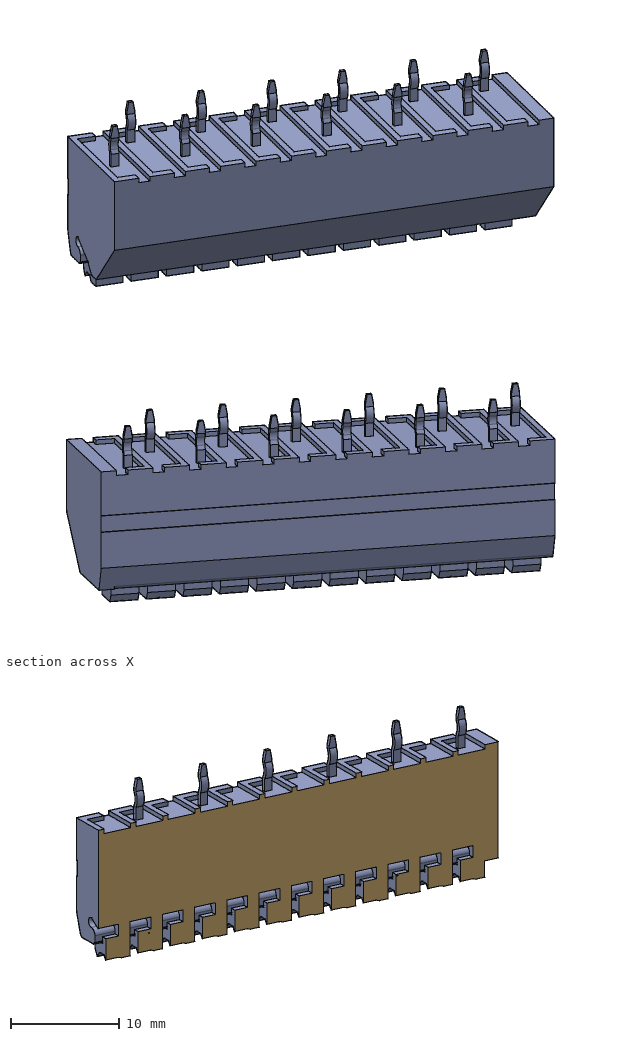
import cadquery as cq

LENGTH = 43.5
WIDTH = 12.0
HOUSING_BOTTOM = 1.6
HOUSING_TOP = 13.15
RIGHT_WALL_BOTTOM = 6.3
LEFT_WALL_BOTTOM = 3.9
LEFT_SLOPE_RUN = 0.8
BAND_BOTTOM = 7.35
BAND_TOP = 8.9
BAND_DEPTH = 0.15

POLE_COUNT = 12
END_PLATE = 1.5
PITCH = (LENGTH - END_PLATE) / POLE_COUNT
FRONT_Y = -LENGTH / 2
POLES_END_Y = LENGTH / 2 - END_PLATE

JAW_RIGHT = 3.25
JAW_EDGE_RADIUS = 0.45
JAW_CORNER = 0.2
JAW_SHOULDER = 2.52
JAW_SHOULDER_RADIUS = 0.65
JAW_TOP = 3.15
HOOK_CENTRE_X = 2.6
HOOK_RADIUS = 0.5
ROOF_BEND_X = 5.18
ROOF_BEND_Z = 2.6
CHANNEL_RIGHT = 6.15

LEVER_LENGTH = 2.7
LEVER_LEFT = 1.95
LEVER_RIGHT = 5.15
LEVER_TOP = 2.25
ARM_LEFT = 2.52
ARM_LENGTH = 1.3
LEVER_CHAMFER_X = 0.4
LEVER_CHAMFER_Z = 0.75
SCOOP_HEIGHT = 0.55
SCOOP_WIDTH = 1.55
SCOOP_ROOF_WIDTH = 0.75
SCOOP_DEPTH = 1.75

RECESS_DEPTH = 0.45
GROOVE_LENGTH = 1.1
POCKET_LENGTH = 2.85
POCKET_INSET = 0.9
RECESS_FLOOR = HOUSING_TOP - RECESS_DEPTH

PIN_TOP = 16.7
PIN_TAPER_START = 15.8
PIN_THICKNESS = 0.4
PIN_WIDTH = 0.8
PIN_TIP_WIDTH = 0.45
PIN_ROW_X = 2.3
PIN_ROW_SPACING = 5.0
PIN_Y_OFFSET = 1.7
KINK_CENTRE = 14.75
KINK_LENGTH = 1.55
KINK_CREST_LENGTH = 0.8
KINK_DEPTH = 0.24
KINK_RAMP_DEPTH = 0.17


def prism(outline, y_start, length):
    """Extrude an XZ outline towards +Y from y_start."""
    return outline.extrude(-length).translate((0, y_start, 0))


def make_housing_block(y_start, length):
    slope_run = RIGHT_WALL_BOTTOM - HOUSING_BOTTOM
    outline = cq.Workplane("XZ").polyline([
        (0, HOUSING_TOP),
        (WIDTH, HOUSING_TOP),
        (WIDTH, RIGHT_WALL_BOTTOM),
        (WIDTH - slope_run, HOUSING_BOTTOM),
        (LEFT_SLOPE_RUN, HOUSING_BOTTOM),
        (0, LEFT_WALL_BOTTOM),
        (0, BAND_BOTTOM),
        (BAND_DEPTH, BAND_BOTTOM),
        (BAND_DEPTH, BAND_TOP),
        (0, BAND_TOP),
    ]).close()
    return prism(outline, y_start, length)


def make_housing():
    jaw_edge = cq.selectors.NearestToPointSelector((LEFT_SLOPE_RUN, 0, HOUSING_BOTTOM))
    poles = make_housing_block(FRONT_Y, LENGTH - END_PLATE)
    poles = poles.edges("|Y").edges(jaw_edge).fillet(JAW_EDGE_RADIUS)
    return poles.union(make_housing_block(POLES_END_Y, END_PLATE))


def make_channel():
    hook_z = JAW_TOP + HOOK_RADIUS
    outline = (
        cq.Workplane("XZ")
        .moveTo(CHANNEL_RIGHT, HOUSING_BOTTOM)
        .lineTo(ROOF_BEND_X, ROOF_BEND_Z)
        .lineTo(HOOK_CENTRE_X, hook_z + HOOK_RADIUS)
        .threePointArc((HOOK_CENTRE_X - HOOK_RADIUS, hook_z), (HOOK_CENTRE_X, JAW_TOP))
        .radiusArc((JAW_RIGHT, JAW_SHOULDER), JAW_SHOULDER_RADIUS)
        .lineTo(JAW_RIGHT, HOUSING_BOTTOM + JAW_CORNER)
        .radiusArc((JAW_RIGHT - JAW_CORNER, HOUSING_BOTTOM), -JAW_CORNER)
        .close()
    )
    return prism(outline, FRONT_Y, LENGTH - END_PLATE)


def make_lever(y_start):
    outline = cq.Workplane("XZ").polyline([
        (LEVER_LEFT, HOUSING_BOTTOM),
        (JAW_RIGHT, HOUSING_BOTTOM),
        (JAW_RIGHT, LEVER_TOP),
        (LEVER_RIGHT, LEVER_TOP),
        (LEVER_RIGHT, 0),
        (LEVER_LEFT + LEVER_CHAMFER_X, 0),
        (LEVER_LEFT, LEVER_CHAMFER_Z),
    ]).close()
    scoop_left = LEVER_LEFT + LEVER_CHAMFER_X
    flank = (SCOOP_WIDTH - SCOOP_ROOF_WIDTH) / 2
    scoop_section = cq.Workplane("XZ").polyline([
        (scoop_left, 0),
        (scoop_left + flank, SCOOP_HEIGHT),
        (scoop_left + SCOOP_WIDTH - flank, SCOOP_HEIGHT),
        (scoop_left + SCOOP_WIDTH, 0),
    ]).close()
    scoop_ramp = cq.Workplane("YZ").polyline([
        (y_start, 0),
        (y_start, SCOOP_HEIGHT),
        (y_start + SCOOP_DEPTH, 0),
    ]).close().extrude(WIDTH)
    scoop = prism(scoop_section, y_start, SCOOP_DEPTH).intersect(scoop_ramp)
    return prism(outline, y_start, LEVER_LENGTH).cut(scoop)


def make_arm(channel, y_start):
    """Arm filling the channel section between the lever top, the roof and the hook."""
    arm_envelope = cq.Workplane("XY").box(
        LEVER_RIGHT - ARM_LEFT, ARM_LENGTH, HOUSING_TOP - LEVER_TOP, centered=False
    )
    return channel.intersect(arm_envelope.translate((ARM_LEFT, y_start, LEVER_TOP)))


def make_recess(y_end):
    groove = cq.Workplane("XY").box(WIDTH, GROOVE_LENGTH, RECESS_DEPTH, centered=False)
    pocket = cq.Workplane("XY").box(WIDTH - 2 * POCKET_INSET, POCKET_LENGTH, RECESS_DEPTH, centered=False)
    return (
        groove.translate((0, y_end - GROOVE_LENGTH, RECESS_FLOOR))
        .union(pocket.translate((POCKET_INSET, y_end - POCKET_LENGTH, RECESS_FLOOR)))
    )


def make_pin(x, y, kink_side):
    """Flat pin with a kink towards kink_side (+1 is +X, -1 is -X)."""
    outer = kink_side * PIN_THICKNESS / 2
    kink_low = KINK_CENTRE - KINK_LENGTH / 2
    kink_high = KINK_CENTRE + KINK_LENGTH / 2
    crest_low = KINK_CENTRE - KINK_CREST_LENGTH / 2
    crest_high = KINK_CENTRE + KINK_CREST_LENGTH / 2
    ramp_end = -outer + kink_side * KINK_RAMP_DEPTH
    crest = kink_side * KINK_DEPTH
    side_outline = (
        cq.Workplane("XZ")
        .moveTo(-outer, RECESS_FLOOR)
        .lineTo(outer, RECESS_FLOOR)
        .lineTo(outer, kink_low)
        .threePointArc((outer + crest, KINK_CENTRE), (outer, kink_high))
        .lineTo(outer, PIN_TOP)
        .lineTo(-outer, PIN_TOP)
        .lineTo(-outer, kink_high)
        .lineTo(ramp_end, crest_high)
        .threePointArc((-outer + crest, KINK_CENTRE), (ramp_end, crest_low))
        .lineTo(-outer, kink_low)
        .close()
    )
    face_outline = cq.Workplane("YZ").polyline([
        (-PIN_WIDTH / 2, RECESS_FLOOR),
        (PIN_WIDTH / 2, RECESS_FLOOR),
        (PIN_WIDTH / 2, PIN_TAPER_START),
        (PIN_TIP_WIDTH / 2, PIN_TOP),
        (-PIN_TIP_WIDTH / 2, PIN_TOP),
        (-PIN_WIDTH / 2, PIN_TAPER_START),
    ]).close()
    pin = prism(side_outline, -PIN_WIDTH / 2, PIN_WIDTH)
    pin = pin.intersect(face_outline.extrude(PIN_ROW_SPACING / 2, both=True))
    return pin.translate((x, y, 0))


channel = make_channel()
result = make_housing().cut(channel)

for pole in range(POLE_COUNT):
    pole_end = POLES_END_Y - pole * PITCH
    in_left_row = pole % 2 == 0
    pin_x = PIN_ROW_X if in_left_row else PIN_ROW_X + PIN_ROW_SPACING
    kink_side = 1 if in_left_row else -1
    result = result.cut(make_recess(pole_end))
    result = result.union(make_pin(pin_x, pole_end - PIN_Y_OFFSET, kink_side))
    result = result.union(make_lever(pole_end - LEVER_LENGTH))
    result = result.union(make_arm(channel, pole_end - ARM_LENGTH))